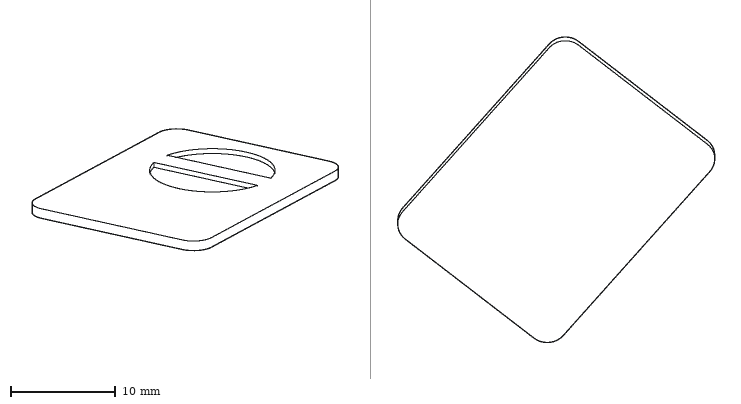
import cadquery as cq

plate_width = 20.0
plate_length = 26.0
plate_thickness = 1.0
corner_radius = 2.0

recess_diameter = 12.0
recess_center_y = 4.8
recess_depth = 0.5
bar_width = 2.37


def make_plate():
    """Flat plate with rounded vertical corners, standing on Z = 0."""
    plate = cq.Workplane("XY").box(
        plate_width, plate_length, plate_thickness, centered=(True, True, False)
    )
    return plate.edges("|Z").fillet(corner_radius)


def make_recess():
    """Two half-moon pockets: a disc with the bar left standing across its middle."""
    floor = cq.Workplane("XY", origin=(0, recess_center_y, plate_thickness - recess_depth))
    disc = floor.circle(recess_diameter / 2).extrude(recess_depth)
    bar = floor.rect(recess_diameter, bar_width).extrude(recess_depth)
    return disc.cut(bar)


result = make_plate().cut(make_recess())